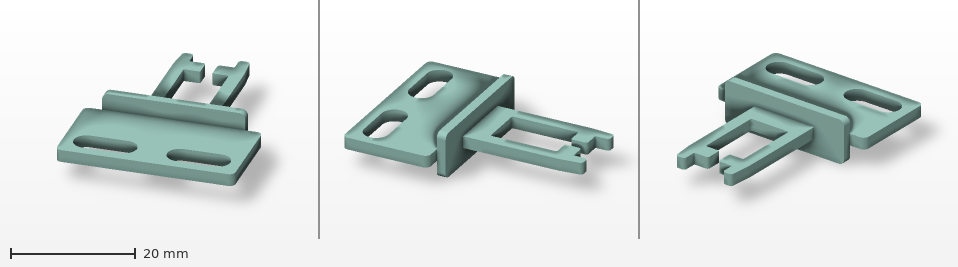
import cadquery as cq

plate_width = 30.0
plate_length = 15.5
thickness = 2.1
corner_radius = 1.0

slot_length = 10.65
slot_width = 4.4
slot_offset_x = 7.85
slot_center_y = 4.1

flange_width = 24.0
flange_height = 8.0
flange_depth = 1.6

total_length = 38.5
tongue_width = 12.0
tip_width = 11.25
taper_start_y = 34.4
window_width = 7.6
window_start_y = 20.95
hook_start_y = 32.95
hook_end_y = 35.95
hook_gap = 2.05
tip_radius = 0.58
hook_radius = 0.45
hook_inner_radius = 0.25
window_radius = 0.3


def flat_blank(sketch):
    """Extrude a flat outline symmetrically about Z = 0."""
    return sketch.extrude(thickness / 2, both=True)


def round_edges(body, x, y, radius):
    """Round the upright edges at (x, y) and at its mirror image (-x, y)."""
    for side in (-1, 1):
        edge = cq.selectors.NearestToPointSelector((side * x, y, 0))
        body = body.edges("|Z").edges(edge).fillet(radius)
    return body


def make_plate():
    outline = cq.Workplane("XY").center(0, plate_length / 2).rect(plate_width, plate_length)
    plate = flat_blank(outline).edges("|Z").fillet(corner_radius)
    slots = (
        cq.Workplane("XY")
        .pushPoints([(-slot_offset_x, slot_center_y), (slot_offset_x, slot_center_y)])
        .slot2D(slot_length, slot_width)
    )
    return plate.cut(flat_blank(slots))


def make_flange():
    return (
        cq.Workplane("XY")
        .box(flange_width, flange_depth, flange_height)
        .edges("|Y")
        .fillet(corner_radius)
        .translate((0, plate_length + flange_depth / 2, 0))
    )


def make_tongue():
    outer_x = tongue_width / 2
    tip_x = tip_width / 2
    window_x = window_width / 2
    hook_x = hook_gap / 2
    root_y = plate_length + flange_depth / 2

    half_outline = [
        (outer_x, root_y),
        (outer_x, taper_start_y),
        (tip_x, total_length),
        (window_x, total_length),
        (window_x, hook_end_y),
        (hook_x, hook_end_y),
        (hook_x, hook_start_y),
        (window_x, hook_start_y),
        (window_x, window_start_y),
    ]
    mirrored = [(-x, y) for x, y in reversed(half_outline)]
    tongue = flat_blank(cq.Workplane("XY").polyline(half_outline + mirrored).close())

    tongue = round_edges(tongue, tip_x, total_length, tip_radius)
    tongue = round_edges(tongue, window_x, total_length, tip_radius)
    tongue = round_edges(tongue, hook_x, hook_end_y, hook_radius)
    tongue = round_edges(tongue, hook_x, hook_start_y, hook_inner_radius)
    tongue = round_edges(tongue, window_x, hook_start_y, hook_inner_radius)
    return round_edges(tongue, window_x, window_start_y, window_radius)


result = make_plate().union(make_flange()).union(make_tongue())